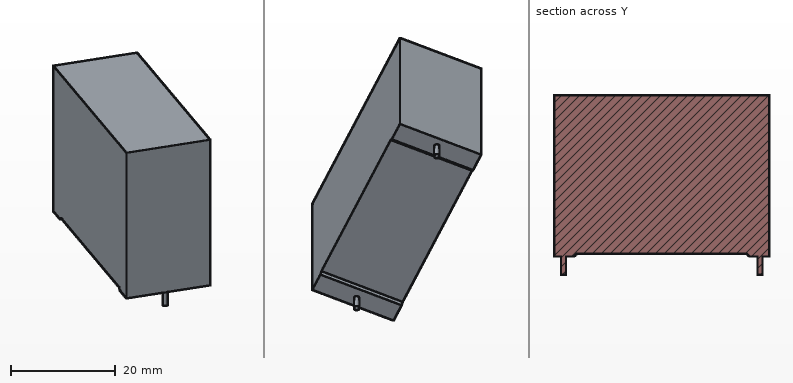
import cadquery as cq


case_length = 41.0
case_width = 17.0
case_height = 30.8

recess_depth = 0.5
recess_roof_length = 32.4
recess_mouth_length = 33.4

lead_diameter = 1.0
lead_pitch = 37.5
lead_length = 3.5


def make_case():
    """Case profile in XZ, feet resting on Z = 0, extruded symmetrically along Y."""
    half_length = case_length / 2
    half_mouth = recess_mouth_length / 2
    half_roof = recess_roof_length / 2
    profile = [
        (-half_length, 0),
        (-half_mouth, 0),
        (-half_roof, recess_depth),
        (half_roof, recess_depth),
        (half_mouth, 0),
        (half_length, 0),
        (half_length, case_height),
        (-half_length, case_height),
    ]
    return cq.Workplane("XZ").polyline(profile).close().extrude(case_width / 2, both=True)


def make_leads():
    """Two round leads on the case centreline, running down from the feet."""
    lead_centres = [(-lead_pitch / 2, 0), (lead_pitch / 2, 0)]
    return cq.Workplane("XY").pushPoints(lead_centres).circle(lead_diameter / 2).extrude(-lead_length)


result = make_case().union(make_leads())